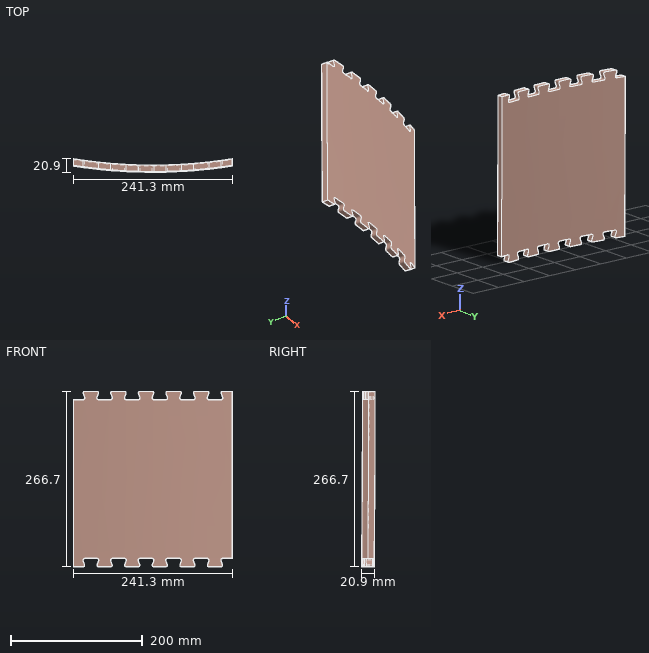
import cadquery as cq
import math

INCH = 25.4

width = 9.5 * INCH
height = 10.5 * INCH
thickness = 9.83

top_radius = 770.0
bottom_flare = 1.4

tab_depth = 0.5 * INCH
tab_pitch = 1.65 * INCH
tab_width = 21.15
first_tab = 0.625 * INCH
full_tabs = 5
flank_angle = 20.0
corner_radius = 0.1 * INCH

side_overrun = 2.0
blank_reach = 50.0
selection_margin = 1.0

half_width = width / 2
flank_shift = tab_depth / 2 * math.tan(math.radians(flank_angle))


def arc_ends_y(mid_y, radius, half_span):
    """Y at the ends of an arc whose middle, at mid_y, is its foremost point."""
    return mid_y + radius - math.sqrt(radius**2 - half_span**2)


def add_section(plane, outer_radius):
    """Draw the curved band of the panel, centred on the common vertical axis."""
    half_span = half_width + side_overrun
    inner_radius = outer_radius - thickness
    front_y = top_radius - outer_radius
    back_y = front_y + thickness
    front_ends_y = arc_ends_y(front_y, outer_radius, half_span)
    back_ends_y = arc_ends_y(back_y, inner_radius, half_span)
    return (
        plane.moveTo(-half_span, front_ends_y)
        .threePointArc((0, front_y), (half_span, front_ends_y))
        .lineTo(half_span, back_ends_y)
        .threePointArc((0, back_y), (-half_span, back_ends_y))
        .close()
    )


def make_shell():
    """Smooth loft from bottom to top, its flare growing with the square of the drop."""
    middle_flare = bottom_flare / 4
    body = add_section(cq.Workplane("XY"), top_radius + bottom_flare)
    body = add_section(body.workplane(offset=height / 2), top_radius + middle_flare)
    body = add_section(body.workplane(offset=height / 2), top_radius)
    return body.loft()


def dovetail_edge(root_z):
    """Points along a dovetail edge, left to right, starting below and ending above."""
    tip_z = root_z + tab_depth
    points = []
    for i in range(full_tabs + 1):
        left = -half_width + first_tab + i * tab_pitch
        points += [(left + flank_shift, root_z), (left - flank_shift, tip_z)]
        if i < full_tabs:
            right = left + tab_width
            points += [(right + flank_shift, tip_z), (right - flank_shift, root_z)]
    return points


def make_outline():
    """Prism along Y with the front outline and rounded dovetail corners."""
    bottom_edge = dovetail_edge(0)
    top_edge = dovetail_edge(height - tab_depth)
    points = [(-half_width, 0)]
    points += bottom_edge
    points += [(half_width, tab_depth), (half_width, height)]
    points += reversed(top_edge)
    points += [(-half_width, height - tab_depth)]
    prism = cq.Workplane("XZ").polyline(points).close().extrude(blank_reach, both=True)

    inner_half = half_width - selection_margin
    dovetail_corners = cq.selectors.BoxSelector(
        (-inner_half, -blank_reach, -selection_margin),
        (inner_half, blank_reach, height + selection_margin),
    )
    return prism.edges("|Y").edges(dovetail_corners).fillet(corner_radius)


result = make_shell().intersect(make_outline())